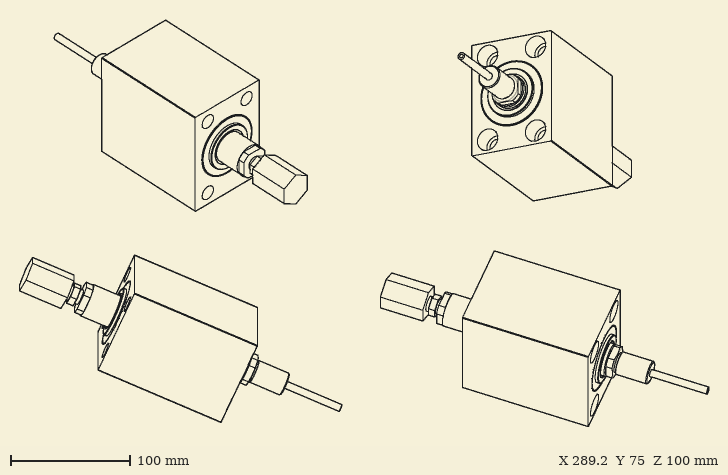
import cadquery as cq
import math


OVERALL_LENGTH = 289.2

HOUSING_LENGTH = 113.0
HOUSING_WIDTH = 75.0
HOUSING_HEIGHT = 100.0
EDGE_CHAMFER = 0.5

BOLT_SPACING_Y = 45.0
BOLT_SPACING_Z = 75.8
BOLT_HOLE_D = 13.0
COUNTERBORE_D = 19.0
COUNTERBORE_DEPTH = 17.4

GLAND_D = 57.8
GLAND_DEPTH = 14.5
GLAND_CHAMFER = 1.0
COLLAR_D = 42.5
COLLAR_HEIGHT = 3.0
COLLAR_CHAMFER = 0.5
LIP_RECESS_D = 32.5
LIP_RECESS_DEPTH = 1.0

ROD_D = 28.5
ROD_LEFT_END = -6.0
ROD_RIGHT_END = 140.0
ROD_CHAMFER = 1.0
FLATS_ACROSS = 24.3
FLATS_D = 27.8
FLATS_LENGTH = 6.0
FLATS_BEVEL_LENGTH = 0.5
FLATS_BEVEL_RADIAL = 2.0
NECK_D = 17.4
NECK_LENGTH = 1.7
STUD_D = 20.0
STUD_LENGTH = 28.0
STUD_CHAMFER = 1.0
PIN_D = 6.5
PIN_LENGTH = 51.2
PIN_HOLE_D = 3.2
PIN_HOLE_DEPTH = 5.8

SHANK_D = 13.0
SHANK_LENGTH = 12.0
LOCKNUT_ACROSS_FLATS = 16.2
LOCKNUT_OFFSET = 3.2
LOCKNUT_LENGTH = 5.8
SLEEVE_ACROSS_FLATS = 27.0

FLATS_LEFT_END = ROD_LEFT_END - FLATS_LENGTH
STUD_RIGHT_END = FLATS_LEFT_END - NECK_LENGTH
STUD_LEFT_END = STUD_RIGHT_END - STUD_LENGTH
PIN_TIP = STUD_LEFT_END - PIN_LENGTH
FLATS_RIGHT_END = ROD_RIGHT_END + FLATS_LENGTH
SLEEVE_START = FLATS_RIGHT_END + SHANK_LENGTH
SLEEVE_LENGTH = PIN_TIP + OVERALL_LENGTH - SLEEVE_START


def yz_plane(x):
    """Plane square to the cylinder axis at station x."""
    return cq.Workplane("YZ", origin=(x, 0, 0))


def cylinder(x, diameter, length):
    """Cylinder on the X axis running from x towards +X."""
    return yz_plane(x).circle(diameter / 2).extrude(length)


def hexagon(x, across_flats, length):
    """Hexagonal prism on the X axis with flats facing +Y and -Y."""
    across_corners = across_flats / math.cos(math.pi / 6)
    return yz_plane(x).transformed(rotate=(0, 0, 90)).polygon(6, across_corners).extrude(length)


def wrench_flats(x, round_section):
    """Round section starting at x, cut down to four wrench flats."""
    square = yz_plane(x).rect(FLATS_ACROSS, FLATS_ACROSS).extrude(FLATS_LENGTH)
    return round_section.intersect(square)


def make_gland():
    """Gland for the -X end: flush plug with a raised collar around the rod."""
    plug = cylinder(0, GLAND_D, GLAND_DEPTH).faces("<X").chamfer(GLAND_CHAMFER)
    collar = cylinder(-COLLAR_HEIGHT, COLLAR_D, COLLAR_HEIGHT).faces("<X").chamfer(COLLAR_CHAMFER)
    lip_recess = cylinder(-COLLAR_HEIGHT, LIP_RECESS_D, LIP_RECESS_DEPTH)
    rod_bore = cylinder(-COLLAR_HEIGHT, ROD_D, COLLAR_HEIGHT + GLAND_DEPTH)
    return plug.union(collar).cut(lip_recess).cut(rod_bore)


def make_housing():
    """Rectangular block bored for the glands and rod, with four bolt holes."""
    block = (
        yz_plane(0)
        .rect(HOUSING_WIDTH, HOUSING_HEIGHT)
        .extrude(HOUSING_LENGTH)
        .edges("|X")
        .chamfer(EDGE_CHAMFER)
    )
    block = block.cut(cylinder(0, ROD_D, HOUSING_LENGTH))
    for x in (0, HOUSING_LENGTH - GLAND_DEPTH):
        block = block.cut(cylinder(x, GLAND_D, GLAND_DEPTH))
    bolt_pattern = yz_plane(0).rect(BOLT_SPACING_Y, BOLT_SPACING_Z, forConstruction=True).vertices()
    bolt_holes = bolt_pattern.circle(BOLT_HOLE_D / 2).extrude(HOUSING_LENGTH)
    counterbores = bolt_pattern.circle(COUNTERBORE_D / 2).extrude(COUNTERBORE_DEPTH)
    return block.cut(bolt_holes).cut(counterbores)


def make_piston_rod():
    """Through rod with wrench flats at both ends, and a stud and pin at the -X end."""
    rod = cylinder(ROD_LEFT_END, ROD_D, ROD_RIGHT_END - ROD_LEFT_END).faces("<X").chamfer(ROD_CHAMFER)
    left_round = cylinder(FLATS_LEFT_END, FLATS_D, FLATS_LENGTH)
    left_round = left_round.faces("<X").chamfer(FLATS_BEVEL_LENGTH, FLATS_BEVEL_RADIAL)
    right_round = cylinder(ROD_RIGHT_END, FLATS_D, FLATS_LENGTH)
    rod = rod.union(wrench_flats(FLATS_LEFT_END, left_round))
    rod = rod.union(wrench_flats(ROD_RIGHT_END, right_round))
    neck = cylinder(STUD_RIGHT_END, NECK_D, NECK_LENGTH)
    stud = cylinder(STUD_LEFT_END, STUD_D, STUD_LENGTH).faces("<X").chamfer(STUD_CHAMFER)
    pin_hole = cylinder(PIN_TIP, PIN_HOLE_D, PIN_HOLE_DEPTH)
    pin = cylinder(PIN_TIP, PIN_D, PIN_LENGTH).cut(pin_hole)
    return rod.union(neck).union(stud).union(pin)


def make_coupling():
    """Round shank carrying a small hexagon, ending in a hexagonal sleeve."""
    shank = cylinder(FLATS_RIGHT_END, SHANK_D, SHANK_LENGTH)
    locknut = hexagon(FLATS_RIGHT_END + LOCKNUT_OFFSET, LOCKNUT_ACROSS_FLATS, LOCKNUT_LENGTH)
    sleeve = hexagon(SLEEVE_START, SLEEVE_ACROSS_FLATS, SLEEVE_LENGTH)
    return shank.union(locknut).union(sleeve)


housing = make_housing()
piston_rod = make_piston_rod()
coupling = make_coupling()

glands = []
for x, turn in ((0, 0), (HOUSING_LENGTH, 180)):
    gland = make_gland().rotate((0, 0, 0), (0, 0, 1), turn).translate((x, 0, 0))
    glands.append(gland.val())

result = cq.Compound.makeCompound([housing.val(), *glands, piston_rod.val(), coupling.val()])